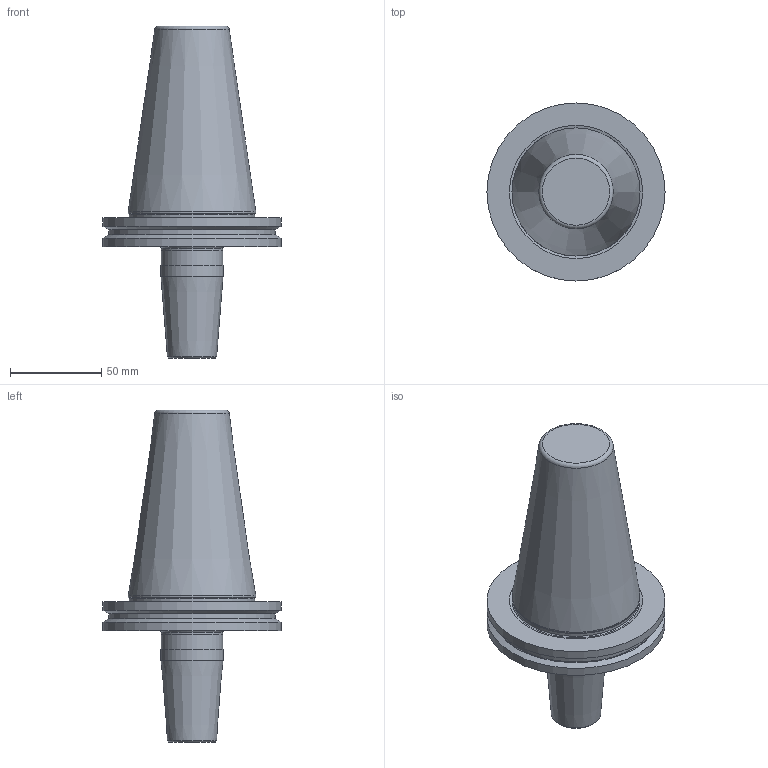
import cadquery as cq
import math


gauge_radius = 69.85 / 2
taper_length = 101.75
taper_slope = 7 / 24 / 2
tip_round = 2.0

gauge_land = 0.75
relief_depth = 0.45
relief_ramp_length = 0.55
relief_fillet = 0.6
flange_recess_depth = 0.4
flange_recess_ramp_width = 1.4

flange_radius = 97.5 / 2
flange_top = -3.2
flange_bottom = -19.1
groove_center = -11.1
groove_floor_radius = 91.25 / 2
groove_floor_width = 2.9
groove_wall_angle = 30.0
groove_fillet = 0.4

nose_bottom = -80.0
neck_radius = 16.75
neck_fillet = 0.9
neck_step_z = -21.0
neck_step_radius = 16.95
collar_radius = 17.25
collar_top = -29.2
collar_bottom = -35.3
nose_cone_top_radius = 17.0
nose_cone_angle = 4.5
nose_chamfer = 0.7


def arc_point(center, radius, angle):
    """Point at the given angle, in degrees, on a circle in the profile plane."""
    turn = math.radians(angle)
    return (center[0] + radius * math.cos(turn), center[1] + radius * math.sin(turn))


def shank_radius(z):
    """Radius of the steep taper at height z."""
    return gauge_radius - taper_slope * z


def add_nose(profile):
    """Draw from the bottom center up to the underside of the flange."""
    cone_height = collar_bottom - nose_bottom
    tip_radius = nose_cone_top_radius - cone_height * math.tan(math.radians(nose_cone_angle))
    fillet_center = (neck_radius + neck_fillet, flange_bottom - neck_fillet)
    return (
        profile.lineTo(tip_radius - nose_chamfer, nose_bottom)
        .lineTo(tip_radius, nose_bottom + nose_chamfer)
        .lineTo(nose_cone_top_radius, collar_bottom)
        .lineTo(collar_radius, collar_bottom)
        .lineTo(collar_radius, collar_top)
        .lineTo(neck_step_radius, collar_top)
        .lineTo(neck_step_radius, neck_step_z)
        .lineTo(neck_radius, neck_step_z)
        .lineTo(neck_radius, flange_bottom - neck_fillet)
        .threePointArc(
            arc_point(fillet_center, neck_fillet, 135),
            (neck_radius + neck_fillet, flange_bottom),
        )
    )


def add_flange(profile):
    """Draw the flange rim, with its V groove, from underside to top face."""
    wall_angle = math.radians(groove_wall_angle)
    groove_depth = flange_radius - groove_floor_radius
    half_floor = groove_floor_width / 2
    half_mouth = half_floor + groove_depth * math.tan(wall_angle)
    setback = groove_fillet * math.tan((math.pi / 2 - wall_angle) / 2)
    wall_start_radius = groove_floor_radius + setback * math.cos(wall_angle)
    wall_start = half_floor + setback * math.sin(wall_angle)
    floor_end = half_floor - setback
    arc_center_radius = groove_floor_radius + groove_fillet
    arc_turn = (90 - groove_wall_angle) / 2
    lower_arc_mid = arc_point((arc_center_radius, groove_center - floor_end), groove_fillet, 180 + arc_turn)
    upper_arc_mid = arc_point((arc_center_radius, groove_center + floor_end), groove_fillet, 180 - arc_turn)
    return (
        profile.lineTo(flange_radius, flange_bottom)
        .lineTo(flange_radius, groove_center - half_mouth)
        .lineTo(wall_start_radius, groove_center - wall_start)
        .threePointArc(lower_arc_mid, (groove_floor_radius, groove_center - floor_end))
        .lineTo(groove_floor_radius, groove_center + floor_end)
        .threePointArc(upper_arc_mid, (wall_start_radius, groove_center + wall_start))
        .lineTo(flange_radius, groove_center + half_mouth)
        .lineTo(flange_radius, flange_top)
    )


def add_shank(profile):
    """Draw the relief neck and the steep taper up to the axis at the tip."""
    relief_radius = gauge_radius - relief_depth
    recess_floor = flange_top - flange_recess_depth
    fillet_center = (relief_radius + relief_fillet, recess_floor + relief_fillet)
    round_start = taper_length - tip_round
    round_radius = shank_radius(round_start)
    tip_center = (round_radius - tip_round, round_start)
    return (
        profile.lineTo(fillet_center[0] + flange_recess_ramp_width, flange_top)
        .lineTo(fillet_center[0], recess_floor)
        .threePointArc(
            arc_point(fillet_center, relief_fillet, 225),
            (relief_radius, fillet_center[1]),
        )
        .lineTo(relief_radius, -gauge_land - relief_ramp_length)
        .lineTo(gauge_radius, -gauge_land)
        .lineTo(gauge_radius, 0)
        .lineTo(round_radius, round_start)
        .threePointArc(
            arc_point(tip_center, tip_round, 45),
            (round_radius - tip_round, taper_length),
        )
        .lineTo(0, taper_length)
    )


outline = cq.Workplane("XZ").moveTo(0, nose_bottom)
outline = add_nose(outline)
outline = add_flange(outline)
outline = add_shank(outline)
result = outline.close().revolve(360, (0, 0, 0), (0, 1, 0))